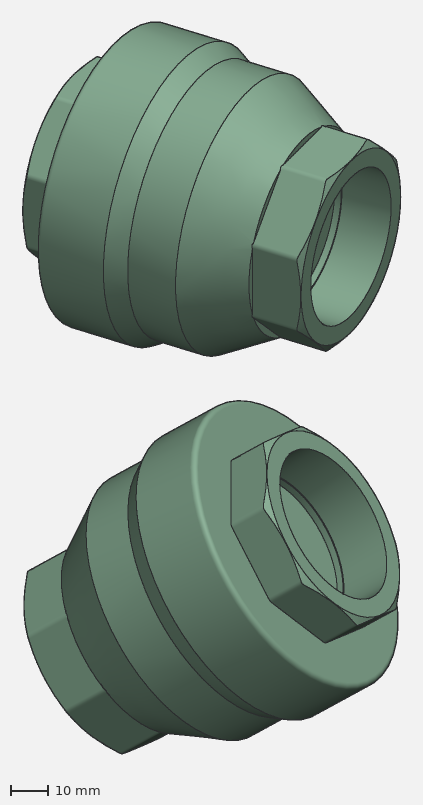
import cadquery as cq
import math

length = 85.0
body_diameter = 85.0
neck_diameter = 78.5
cone_angle = 30.0

front_octagon_length = 12.5
rim_length = 20.5
neck_length = 14.6
rear_octagon_length = 14.8
rim_fillet = 1.5

across_flats = 55.0
octagon_sides = 8
edge_fillet = 2.0
chamfer_diameter = 54.8
chamfer_angle = 30.0

socket_diameter = 44.2
socket_depth = 15.0
recess_diameter = 43.4
recess_depth = 2.0

front_face = -length / 2
rear_face = length / 2
body_front = front_face + front_octagon_length
body_rear = rear_face - rear_octagon_length
rim_end = body_front + rim_length
cone_slope = math.tan(math.radians(cone_angle))
neck_start = rim_end + (body_diameter - neck_diameter) / 2 / cone_slope
neck_end = neck_start + neck_length
body_radius = body_diameter / 2
neck_radius = neck_diameter / 2
rear_radius = neck_radius - (body_rear - neck_end) * cone_slope


def make_body():
    """Turned body: rim, short cone, neck and long cone."""
    profile = (
        cq.Workplane("XY")
        .moveTo(body_front, 0)
        .lineTo(body_front, body_radius)
        .lineTo(rim_end, body_radius)
        .lineTo(neck_start, neck_radius)
        .lineTo(neck_end, neck_radius)
        .lineTo(body_rear, rear_radius)
        .lineTo(body_rear, 0)
        .close()
    )
    body = profile.revolve(360, (0, 0, 0), (1, 0, 0))
    return body.faces("<X").edges().fillet(rim_fillet)


def make_octagon_bar():
    """Full-length octagonal bar with rounded edges and conically chamfered ends."""
    half_side_angle = 180.0 / octagon_sides
    corner_diameter = across_flats / math.cos(math.radians(half_side_angle))
    bar = (
        cq.Workplane("YZ", origin=(front_face, 0, 0))
        .transformed(rotate=(0, 0, half_side_angle))
        .polygon(octagon_sides, corner_diameter)
        .extrude(length)
        .edges("|X")
        .fillet(edge_fillet)
    )
    chamfer_radius = chamfer_diameter / 2
    corner_radius = corner_diameter / 2
    chamfer_length = (corner_radius - chamfer_radius) * math.tan(math.radians(chamfer_angle))
    envelope = (
        cq.Workplane("XY")
        .moveTo(front_face, 0)
        .lineTo(front_face, chamfer_radius)
        .lineTo(front_face + chamfer_length, corner_radius)
        .lineTo(rear_face - chamfer_length, corner_radius)
        .lineTo(rear_face, chamfer_radius)
        .lineTo(rear_face, 0)
        .close()
        .revolve(360, (0, 0, 0), (1, 0, 0))
    )
    return bar.intersect(envelope)


def make_front_socket():
    """Blind socket entering from the front face, with its bottom recess."""
    mouth = cq.Workplane("YZ", origin=(front_face, 0, 0))
    socket = mouth.circle(socket_diameter / 2).extrude(socket_depth)
    recess = mouth.circle(recess_diameter / 2).extrude(socket_depth + recess_depth)
    return socket.union(recess)


front_socket = make_front_socket()
rear_socket = front_socket.mirror("YZ")
result = make_body().union(make_octagon_bar()).cut(front_socket).cut(rear_socket)